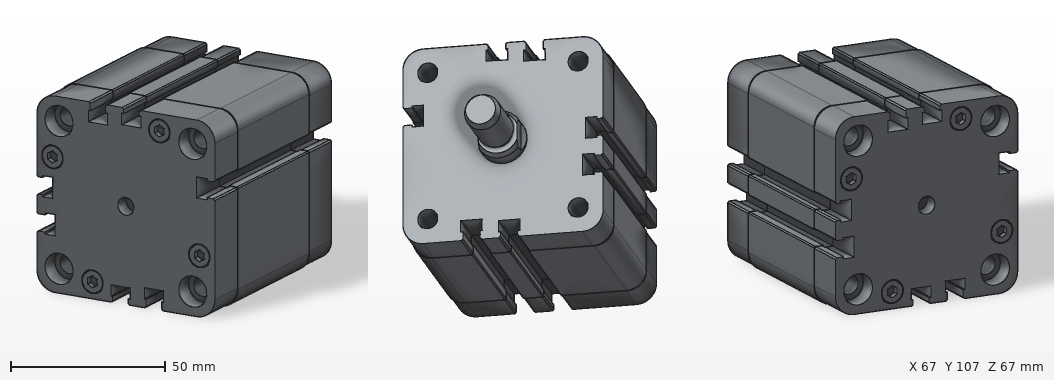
import cadquery as cq
import math

overall_length = 107.0
body_width = 67.0
body_length = 75.4
cap_length = 14.7
cap_inset = 0.16
cap_corner_radius = 6.8
tube_corner_radius = 6.5

slot_opening = 5.5
slot_width = 6.8
slot_floor_height = 3.5
deep_slot_depth = 6.8
deep_slot_offset = -10.5
shallow_slot_depth = 5.9
shallow_slot_offset = 2.0
cap_slot_chamfer = 0.5
tube_slot_chamfer = 0.4

mount_spacing = 50.1
mount_diameter = 6.6
mount_bore_diameter = 10.5
mount_bore_depth = 6.4

screw_long_offset = 27.5
screw_short_offset = 12.5
screw_bore_diameter = 8.0
screw_head_diameter = 7.5
screw_gap_depth = 1.1
hex_across_flats = 3.5
hex_depth = 2.1

port_diameter = 6.0
port_depth = 5.4

collar_diameter = 16.0
collar_tip_diameter = 13.9
collar_length = 7.6
collar_chamfer_length = 1.7
collar_flats = 13.0
flats_length = 5.6
neck_diameter = 10.0
neck_length = 2.4
stud_diameter = 12.0
stud_base_chamfer_length = 0.6
stud_tip_diameter = 10.0
stud_tip_length = 2.9

half_width = body_width / 2
tube_end = body_length - cap_length


def front_plane(y):
    """Sketch plane facing -Y, so that extruding by a negative length goes to +Y."""
    return cq.Workplane("XZ", origin=(0, y, 0))


def t_slot(depth, offset, inset, slot_chamfer, y_start, length):
    """Cutter for a T-slot in the top face, with chamfered mouth edges, widened all round by the inset."""
    face = half_width - inset
    mouth = slot_opening / 2 + inset
    inner = slot_width / 2 + inset
    floor = half_width - depth - inset
    lip = half_width - depth + slot_floor_height + inset
    right_half = [
        (inner, floor),
        (inner, lip),
        (mouth, lip),
        (mouth, face - slot_chamfer),
        (mouth + slot_chamfer, face),
    ]
    left_half = [(-x, z) for x, z in reversed(right_half)]
    outline = [(x + offset, z) for x, z in right_half + left_half]
    return front_plane(y_start).polyline(outline).close().extrude(-length)


def body_section(y_start, length, inset, corner_radius, slot_chamfer):
    """Rounded square block with its T-slots; the right side has only the deep slot."""
    width = body_width - 2 * inset
    block = front_plane(y_start).rect(width, width).extrude(-length)
    block = block.edges("|Y").fillet(corner_radius)
    deep = t_slot(deep_slot_depth, deep_slot_offset, inset, slot_chamfer, y_start, length)
    shallow = t_slot(shallow_slot_depth, shallow_slot_offset, inset, slot_chamfer, y_start, length)
    for side in range(4):
        angle = 90 * side
        block = block.cut(deep.rotate((0, 0, 0), (0, 1, 0), angle))
        on_right_side = side == 1
        if not on_right_side:
            block = block.cut(shallow.rotate((0, 0, 0), (0, 1, 0), angle))
    return block


def mounting_holes():
    """Through holes at the corners, counterbored from the front face."""
    corners = front_plane(0).rect(mount_spacing, mount_spacing, forConstruction=True).vertices()
    holes = corners.circle(mount_diameter / 2).extrude(-body_length)
    bores = corners.circle(mount_bore_diameter / 2).extrude(-mount_bore_depth)
    return holes.union(bores)


def screw_recesses():
    """Ring gap around each screw head and the hexagon socket in it."""
    centres = [
        (screw_short_offset, screw_long_offset),
        (screw_long_offset, -screw_short_offset),
        (-screw_short_offset, -screw_long_offset),
        (-screw_long_offset, screw_short_offset),
    ]
    hex_across_corners = hex_across_flats / math.cos(math.radians(30))
    gaps = front_plane(0).pushPoints(centres).circle(screw_bore_diameter / 2)
    gaps = gaps.circle(screw_head_diameter / 2).extrude(-screw_gap_depth)
    hexagon = cq.Sketch().regularPolygon(hex_across_corners / 2, 6)
    sockets = front_plane(0).pushPoints(centres).placeSketch(hexagon).extrude(-hex_depth)
    return gaps.union(sockets)


def piston_rod():
    """Turned profile around Y, with two wrench flats on the collar."""
    collar_end = body_length + collar_length
    neck_end = collar_end + neck_length
    profile = [
        (0, tube_end),
        (collar_diameter / 2, tube_end),
        (collar_diameter / 2, collar_end - collar_chamfer_length),
        (collar_tip_diameter / 2, collar_end),
        (neck_diameter / 2, collar_end),
        (neck_diameter / 2, neck_end),
        (stud_diameter / 2, neck_end + stud_base_chamfer_length),
        (stud_diameter / 2, overall_length - stud_tip_length),
        (stud_tip_diameter / 2, overall_length),
        (0, overall_length),
    ]
    rod = cq.Workplane("XY").polyline(profile).close().revolve(360, (0, 0, 0), (0, 1, 0))

    flat_x = collar_flats / 2
    flat_start = collar_end - flats_length
    flat_depth = (collar_diameter - collar_flats) / 2
    flat_profile = [
        (flat_x, collar_end),
        (flat_x, flat_start),
        (flat_x + flat_depth, flat_start - flat_depth),
        (flat_x + flat_depth, collar_end),
    ]
    flat = cq.Workplane("XY").polyline(flat_profile).close().extrude(collar_diameter / 2, both=True)
    return rod.cut(flat).cut(flat.mirror("YZ"))


front_cap = body_section(0, cap_length, cap_inset, cap_corner_radius, cap_slot_chamfer)
tube = body_section(cap_length, tube_end - cap_length, 0, tube_corner_radius, tube_slot_chamfer)
rear_cap = body_section(tube_end, cap_length, cap_inset, cap_corner_radius, cap_slot_chamfer)
port = front_plane(0).circle(port_diameter / 2).extrude(-port_depth)

body = front_cap.union(tube).union(rear_cap)
body = body.cut(mounting_holes()).cut(screw_recesses()).cut(port)
result = body.union(piston_rod())